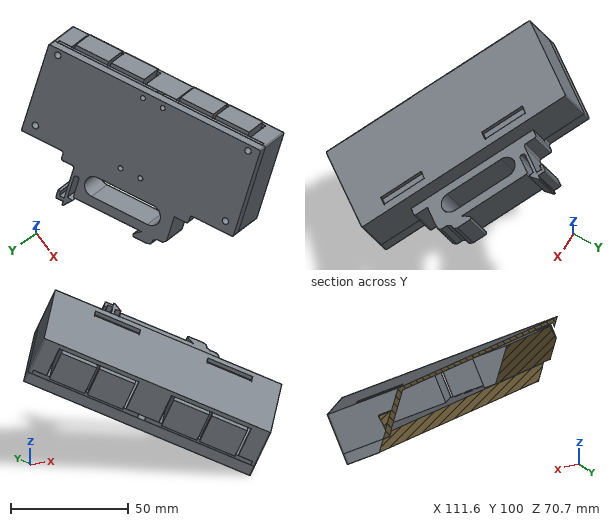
import cadquery as cq

TILT_X = 12.6
TILT_Y = 23.2
TILT_Z = -33.1

LENGTH = 105.1
DEPTH = 43.8
HEIGHT = 23.1
CORNER_RADIUS = 0.6
WALL = 1.8
BASE_PLATE = 4.9
DECK_RISE = 1.9
DECK_SETBACK = 0.1
DECK_TOP = BASE_PLATE + DECK_RISE

NOTCH_LEFT = 50.8
NOTCH_WIDTH = 3.2
NOTCH_DEPTH = 4.5

CORNER_HOLE_DIAMETER = 3.0
CORNER_HOLE_INSET = 5.4
MIDDLE_HOLE_DIAMETER = 2.3
MIDDLE_HOLE_SPACING = 9.8
HOLE_ROWS = (2.9, 38.5)

PLUG_PITCH = 52.1
FIRST_PLUG = 26.4
PLUG_CENTRES = (FIRST_PLUG, FIRST_PLUG + PLUG_PITCH)
PLUG_WIDTH = 34.1
PLUG_TOP = 20.5
PLUG_PROJECTION = 1.7
PLUG_BACK = 13.4
PLUG_GROOVE_WIDTH = 1.2
PLUG_GROOVE_DEPTH = 4.5
WINDOW_WIDTH = 36.9
WINDOW_TOP = 21.2

SLOT_OFFSET = 3.2
SLOT_LENGTH = 20.8
SLOT_WIDTH = 4.0
SLOT_FRONT = 36.0

CLIP_HEIGHT = 15.2
FOOT_LEFT = 21.0
FOOT_RIGHT = 84.0
FOOT_BACK = 47.9
FOOT_RADIUS = 1.0
BODY_LEFT = 31.4
BODY_RIGHT = 77.3
BODY_BACK = 61.7
BODY_LEFT_RADIUS = 0.8
BODY_RIGHT_CHAMFER = 1.5
ARM_LEFT = 27.6
ARM_RIGHT = 28.9
ARM_ROOT_RADIUS = 1.0
GAP_FRONT = 51.7
GAP_RADIUS = 0.9
HOOK_BACK = 65.7

ARM_HOOK_LEFT = 23.9
ARM_HOOK_LIP = 25.2
ARM_HOOK_TIP = 61.7
ARM_HOOK_INNER_BACK = 63.9
ARM_HOOK_RADIUS = 0.6

BARB_LEFT = 27.6
BARB_RIGHT = 28.3
BARB_BACK = 67.4
SLANT_END = (31.5, 63.2)
ARM_SHOULDER = 62.8

HOOK_TIP_LEFT = 62.1
HOOK_TIP_FRONT = 64.3
HOOK_TIP_RADIUS = 0.8
UNDERCUT_END = 65.2
HOOK_SHOULDER = [(69.3, HOOK_BACK), (70.9, 64.9), (71.4, 62.8), (73.1, BODY_BACK)]

OPENING_LEFT = 34.4
OPENING_LENGTH = 37.2
OPENING_FRONT = 47.7
OPENING_WIDTH = 9.5


def block(x, y, z):
    """Box spanning the given (start, end) ranges."""
    size = (x[1] - x[0], y[1] - y[0], z[1] - z[0])
    return cq.Workplane().box(*size, centered=False).translate((x[0], y[0], z[0]))


def rounded_box(bottom, top):
    """Slice of the outer box with its four upright edges rounded."""
    return block((0, LENGTH), (0, DEPTH), (bottom, top)).edges("|Z").fillet(CORNER_RADIUS)


def clip_body():
    """Outline of the foot, arm and body of the rail clip, raised to the clip height."""
    root = DEPTH - WALL
    return (
        cq.Workplane()
        .moveTo(FOOT_LEFT, root)
        .lineTo(FOOT_LEFT, FOOT_BACK - FOOT_RADIUS)
        .radiusArc((FOOT_LEFT + FOOT_RADIUS, FOOT_BACK), FOOT_RADIUS)
        .lineTo(ARM_LEFT - ARM_ROOT_RADIUS, FOOT_BACK)
        .radiusArc((ARM_LEFT, FOOT_BACK + ARM_ROOT_RADIUS), -ARM_ROOT_RADIUS)
        .lineTo(ARM_LEFT, ARM_HOOK_INNER_BACK)
        .lineTo(ARM_HOOK_LIP, ARM_HOOK_INNER_BACK)
        .lineTo(ARM_HOOK_LIP, ARM_HOOK_TIP)
        .lineTo(ARM_HOOK_LEFT, ARM_HOOK_TIP)
        .lineTo(ARM_HOOK_LEFT, HOOK_BACK - ARM_HOOK_RADIUS)
        .radiusArc((ARM_HOOK_LEFT + ARM_HOOK_RADIUS, HOOK_BACK), ARM_HOOK_RADIUS)
        .lineTo(BARB_LEFT, HOOK_BACK)
        .lineTo(BARB_LEFT, BARB_BACK)
        .lineTo(BARB_RIGHT, BARB_BACK)
        .lineTo(*SLANT_END)
        .lineTo(ARM_RIGHT, ARM_SHOULDER)
        .lineTo(ARM_RIGHT, GAP_FRONT + GAP_RADIUS)
        .radiusArc((ARM_RIGHT + GAP_RADIUS, GAP_FRONT), -GAP_RADIUS)
        .lineTo(BODY_LEFT - GAP_RADIUS, GAP_FRONT)
        .radiusArc((BODY_LEFT, GAP_FRONT + GAP_RADIUS), -GAP_RADIUS)
        .lineTo(BODY_LEFT, BODY_BACK - BODY_LEFT_RADIUS)
        .radiusArc((BODY_LEFT + BODY_LEFT_RADIUS, BODY_BACK), BODY_LEFT_RADIUS)
        .lineTo(UNDERCUT_END, BODY_BACK)
        .lineTo(HOOK_TIP_LEFT, HOOK_TIP_FRONT)
        .lineTo(HOOK_TIP_LEFT, HOOK_BACK - HOOK_TIP_RADIUS)
        .radiusArc((HOOK_TIP_LEFT + HOOK_TIP_RADIUS, HOOK_BACK), HOOK_TIP_RADIUS)
        .polyline(HOOK_SHOULDER, includeCurrent=True)
        .lineTo(BODY_RIGHT - BODY_RIGHT_CHAMFER, BODY_BACK)
        .lineTo(BODY_RIGHT, BODY_BACK - BODY_RIGHT_CHAMFER)
        .lineTo(BODY_RIGHT, FOOT_BACK)
        .lineTo(FOOT_RIGHT - FOOT_RADIUS, FOOT_BACK)
        .radiusArc((FOOT_RIGHT, FOOT_BACK - FOOT_RADIUS), FOOT_RADIUS)
        .lineTo(FOOT_RIGHT, root)
        .close()
        .extrude(CLIP_HEIGHT)
    )


def clip():
    """Rail clip with its opening, cleared where the cover stands on the base plate."""
    opening_centre = (OPENING_LEFT + OPENING_LENGTH / 2, OPENING_FRONT + OPENING_WIDTH / 2)
    opening = cq.Workplane().center(*opening_centre).slot2D(OPENING_LENGTH, OPENING_WIDTH)
    opening = opening.extrude(CLIP_HEIGHT)
    cover_space = rounded_box(BASE_PLATE, HEIGHT)
    return clip_body().cut(opening).cut(cover_space)


def screw_holes():
    corner_xs = (CORNER_HOLE_INSET, LENGTH - CORNER_HOLE_INSET)
    middle_xs = (LENGTH / 2 - MIDDLE_HOLE_SPACING / 2, LENGTH / 2 + MIDDLE_HOLE_SPACING / 2)
    corner = [(x, y) for x in corner_xs for y in HOLE_ROWS]
    middle = [(x, y) for x in middle_xs for y in HOLE_ROWS]
    corner_holes = cq.Workplane().pushPoints(corner).circle(CORNER_HOLE_DIAMETER / 2).extrude(DECK_TOP)
    middle_holes = cq.Workplane().pushPoints(middle).circle(MIDDLE_HOLE_DIAMETER / 2).extrude(DECK_TOP)
    return corner_holes.union(middle_holes)


def deck():
    """Raised part of the base, reaching the front face between the cover's end walls."""
    return block((WALL, LENGTH - WALL), (DECK_SETBACK, DEPTH - WALL), (BASE_PLATE, DECK_TOP))


def make_base():
    notch = block((NOTCH_LEFT, NOTCH_LEFT + NOTCH_WIDTH), (0, NOTCH_DEPTH), (BASE_PLATE, DECK_TOP))
    plate = rounded_box(0, BASE_PLATE).union(clip())
    for x in (FOOT_LEFT, FOOT_RIGHT):
        root_edge = cq.selectors.NearestToPointSelector((x, DEPTH, BASE_PLATE / 2))
        plate = plate.edges(root_edge).fillet(FOOT_RADIUS)
    return plate.union(deck()).cut(notch).cut(screw_holes())


def make_cover():
    cover = rounded_box(BASE_PLATE, HEIGHT)
    cavity = block((WALL, LENGTH - WALL), (WALL, DEPTH - WALL), (BASE_PLATE, HEIGHT - WALL))
    front_opening = block((WALL, LENGTH - WALL), (0, WALL), (BASE_PLATE, DECK_TOP))
    cover = cover.cut(cavity).cut(front_opening)
    for x in PLUG_CENTRES:
        window = block((x - WINDOW_WIDTH / 2, x + WINDOW_WIDTH / 2), (0, WALL), (DECK_TOP, WINDOW_TOP))
        slot_left = x + SLOT_OFFSET - SLOT_LENGTH / 2
        slot = block(
            (slot_left, slot_left + SLOT_LENGTH),
            (SLOT_FRONT, SLOT_FRONT + SLOT_WIDTH),
            (HEIGHT - WALL, HEIGHT),
        )
        cover = cover.cut(window).cut(slot)
    return cover


def make_plug(x):
    """Plug centred at x, its projecting front split in two by an upright groove."""
    heights = (DECK_TOP, PLUG_TOP)
    body = block((x - PLUG_WIDTH / 2, x + PLUG_WIDTH / 2), (-PLUG_PROJECTION, PLUG_BACK), heights)
    groove = block(
        (x - PLUG_GROOVE_WIDTH / 2, x + PLUG_GROOVE_WIDTH / 2),
        (-PLUG_PROJECTION, PLUG_GROOVE_DEPTH - PLUG_PROJECTION),
        heights,
    )
    return body.cut(groove)


def tilted(body):
    origin = (0, 0, 0)
    solid = body.val().rotate(origin, (1, 0, 0), TILT_X)
    solid = solid.rotate(origin, (0, 1, 0), TILT_Y)
    return solid.rotate(origin, (0, 0, 1), TILT_Z)


base = make_base()
cover = make_cover()
plugs = [make_plug(x) for x in PLUG_CENTRES]

result = cq.Compound.makeCompound([tilted(body) for body in [base, cover, *plugs]])